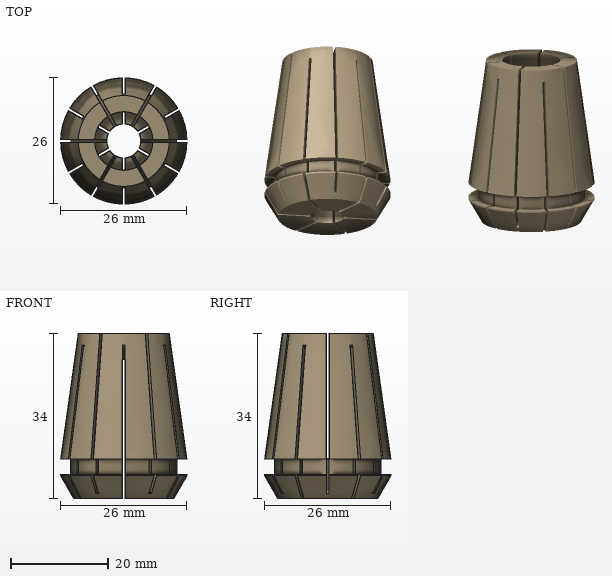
import cadquery as cq
import math

height = 34.0
rim_radius = 13.0
upper_cone_half_angle = 8.0
lower_cone_half_angle = 30.0
rim_bottom_z = 4.7
rim_top_z = 5.0
groove_radius = 11.0
groove_top_z = 8.1

grip_bore_radius = 3.5
relief_bore_radius = 6.0
grip_bore_depth = 22.0

slots_per_end = 6
slot_pitch_angle = 360 / slots_per_end
slot_width = 0.6
blade_radius = 22.0
top_slot_blade_centre = (22.1, 19.95)
bottom_slot_blade_centre = (21.6, 13.1)

top_radius = rim_radius - (height - groove_top_z) * math.tan(math.radians(upper_cone_half_angle))
bottom_radius = rim_radius - rim_bottom_z * math.tan(math.radians(lower_cone_half_angle))


def revolved_body():
    """Body of revolution about Z, with the stepped bore already in its section."""
    section = (
        cq.Workplane("XZ")
        .moveTo(grip_bore_radius, 0)
        .lineTo(bottom_radius, 0)
        .lineTo(rim_radius, rim_bottom_z)
        .lineTo(rim_radius, rim_top_z)
        .lineTo(groove_radius, rim_top_z)
        .lineTo(groove_radius, groove_top_z)
        .lineTo(rim_radius, groove_top_z)
        .lineTo(top_radius, height)
        .lineTo(relief_bore_radius, height)
        .lineTo(relief_bore_radius, grip_bore_depth)
        .lineTo(grip_bore_radius, grip_bore_depth)
        .close()
    )
    return section.revolve(360, (0, 0, 0), (0, 1, 0))


def slot_cutter(blade_centre, open_end_z):
    """Radial slot along +X: the blade's disc, carried straight on past the open end."""
    centre_x, centre_z = blade_centre
    blade = (
        cq.Workplane("XZ")
        .center(centre_x, centre_z)
        .circle(blade_radius)
        .extrude(slot_width / 2, both=True)
    )
    run_out = (
        cq.Workplane("XZ")
        .moveTo(0, centre_z)
        .lineTo(0, open_end_z)
        .lineTo(centre_x, open_end_z)
        .lineTo(centre_x, centre_z)
        .close()
        .extrude(slot_width / 2, both=True)
    )
    return blade.union(run_out)


def cut_slots(body, cutter, first_angle):
    """Cut the slots of one end, evenly spaced about Z."""
    for index in range(slots_per_end):
        angle = first_angle + index * slot_pitch_angle
        body = body.cut(cutter.rotate((0, 0, 0), (0, 0, 1), angle))
    return body


collet = revolved_body()
collet = cut_slots(collet, slot_cutter(top_slot_blade_centre, height), 0)
collet = cut_slots(collet, slot_cutter(bottom_slot_blade_centre, 0), slot_pitch_angle / 2)

result = collet